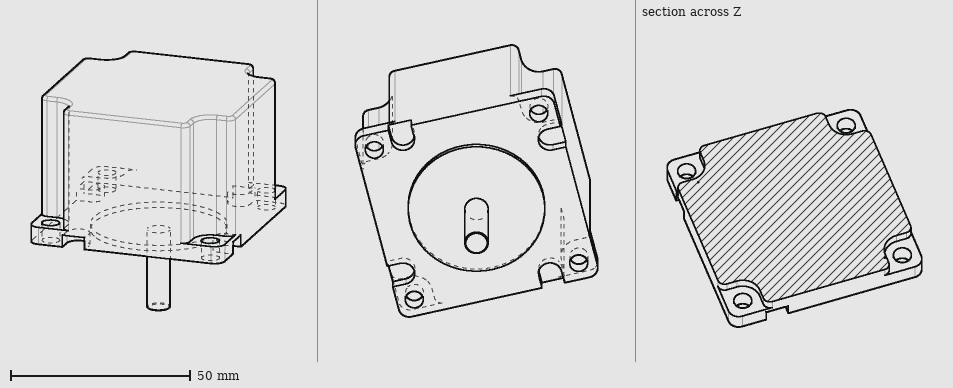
import cadquery as cq

WIDTH = 57.0
BODY_HEIGHT = 40.0
BODY_CORNER_RADIUS = 2.0
TOP_FILLET = 1.0

FLANGE_THICKNESS = 5.0
FLANGE_CORNER_RADIUS = 3.0
HOLE_SPACING = 47.14
HOLE_DIAMETER = 5.0
HOLE_CLEARANCE_RADIUS = 5.0

PILOT_DIAMETER = 38.1
PILOT_HEIGHT = 1.6
SHAFT_DIAMETER = 6.5
SHAFT_LENGTH = 23.0
SHAFT_CHAMFER = 0.25

SLOT_WIDTH = 6.5
SLOT_HEIGHT = 3.5
SLOT_DEPTH = 7.0
SLOT_OFFSET = 15.1

HALF_WIDTH = WIDTH / 2
HALF_SPACING = HOLE_SPACING / 2
HOUSING_HEIGHT = BODY_HEIGHT - FLANGE_THICKNESS
QUARTER_TURNS = (0, 90, 180, 270)


def mounting_flange():
    """Square plate with rounded corners that carries the mounting holes."""
    plate = cq.Workplane("XY").box(WIDTH, WIDTH, FLANGE_THICKNESS, centered=(True, True, False))
    return plate.edges("|Z").fillet(FLANGE_CORNER_RADIUS)


def corner_pocket():
    """Clearance around the +X +Y mounting hole, open to both adjacent sides."""
    inner = HALF_SPACING - HOLE_CLEARANCE_RADIUS
    return (
        cq.Workplane("XY")
        .workplane(offset=FLANGE_THICKNESS)
        .moveTo(inner, HALF_WIDTH)
        .lineTo(inner, HALF_SPACING)
        .radiusArc((HALF_SPACING, inner), -HOLE_CLEARANCE_RADIUS)
        .lineTo(HALF_WIDTH, inner)
        .lineTo(HALF_WIDTH, HALF_WIDTH)
        .close()
        .extrude(HOUSING_HEIGHT)
    )


def motor_body():
    """Square housing with relieved corners and a rounded top."""
    body = (
        cq.Workplane("XY")
        .workplane(offset=FLANGE_THICKNESS)
        .rect(WIDTH, WIDTH)
        .extrude(HOUSING_HEIGHT)
    )
    for angle in QUARTER_TURNS:
        body = body.cut(corner_pocket().rotate((0, 0, 0), (0, 0, 1), angle))
    outer_edges = "|Z and (<X or >X or <Y or >Y)"
    body = body.edges(outer_edges).fillet(BODY_CORNER_RADIUS)
    return body.faces(">Z").edges().fillet(TOP_FILLET)


def pilot_and_shaft():
    """Centring disc under the flange and the shaft with a chamfered tip."""
    pilot = cq.Workplane("XY").circle(PILOT_DIAMETER / 2).extrude(-PILOT_HEIGHT)
    shaft = cq.Workplane("XY").circle(SHAFT_DIAMETER / 2).extrude(-(PILOT_HEIGHT + SHAFT_LENGTH))
    return pilot.union(shaft.faces("<Z").chamfer(SHAFT_CHAMFER))


def mounting_holes():
    """Four through holes on a square pattern."""
    return (
        cq.Workplane("XY")
        .rect(HOLE_SPACING, HOLE_SPACING, forConstruction=True)
        .vertices()
        .circle(HOLE_DIAMETER / 2)
        .extrude(FLANGE_THICKNESS)
    )


def side_slot():
    """Round-ended slot in the mounting face, open to the -Y side."""
    end_center_y = -HALF_WIDTH + SLOT_DEPTH - SLOT_WIDTH / 2
    left = -SLOT_OFFSET - SLOT_WIDTH / 2
    right = left + SLOT_WIDTH
    return (
        cq.Workplane("XY")
        .moveTo(left, -HALF_WIDTH)
        .lineTo(left, end_center_y)
        .threePointArc((-SLOT_OFFSET, -HALF_WIDTH + SLOT_DEPTH), (right, end_center_y))
        .lineTo(right, -HALF_WIDTH)
        .close()
        .extrude(SLOT_HEIGHT)
    )


result = mounting_flange().union(motor_body()).cut(mounting_holes())
for angle in QUARTER_TURNS:
    result = result.cut(side_slot().rotate((0, 0, 0), (0, 0, 1), angle))
result = result.union(pilot_and_shaft())